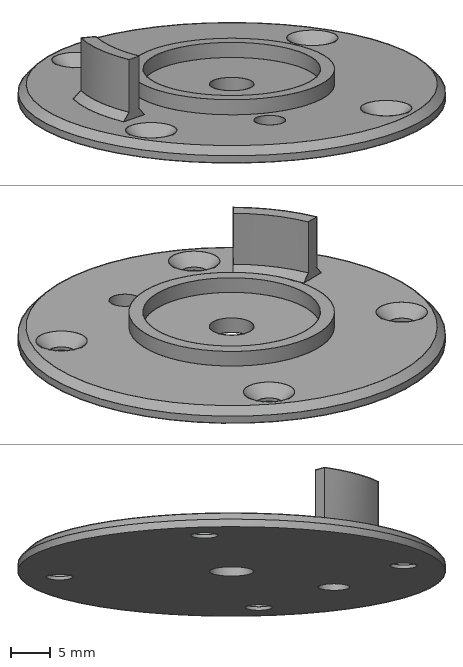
import cadquery as cq

plate_diameter = 54
plate_thickness = 2.0
rim_chamfer = 1.0

ring_outer_diameter = 26.0
ring_inner_diameter = 22.4
ring_height = 2.0

centre_hole_diameter = 5.6
side_hole_diameter = 4.0
side_hole_x = 16.0
screw_hole_diameter = 3.4
screw_head_diameter = 6.5
screw_head_angle = 90
screw_spacing = 31.1

overall_height = 10.0
wall_inner_radius = 18.0
wall_outer_radius = 20.0
wall_sweep = 32
foot_flare = 1.0


def make_plate():
    disc = cq.Workplane("XY").circle(plate_diameter / 2).extrude(plate_thickness)
    return disc.faces(">Z").edges().chamfer(rim_chamfer)


def make_ring():
    return (
        cq.Workplane("XY", origin=(0, 0, plate_thickness))
        .circle(ring_outer_diameter / 2)
        .circle(ring_inner_diameter / 2)
        .extrude(ring_height)
    )


def make_wall():
    """Revolve the wall section about Z, starting on the -Y axis and turning toward +X."""
    foot_top = plate_thickness + foot_flare
    section = [
        (-wall_inner_radius + foot_flare, plate_thickness),
        (-wall_inner_radius, foot_top),
        (-wall_inner_radius, overall_height),
        (-wall_outer_radius, overall_height),
        (-wall_outer_radius, foot_top),
        (-wall_outer_radius - foot_flare, plate_thickness),
    ]
    return (
        cq.Workplane("YZ")
        .polyline(section)
        .close()
        .revolve(wall_sweep, (0, 0, 0), (0, 1, 0))
    )


def drill_holes(body):
    top = cq.Workplane("XY", origin=(0, 0, plate_thickness))
    centre_hole = top.circle(centre_hole_diameter / 2).extrude(-plate_thickness)
    side_hole = top.center(side_hole_x, 0).circle(side_hole_diameter / 2).extrude(-plate_thickness)
    body = body.cut(centre_hole).cut(side_hole)
    return (
        body.copyWorkplane(top)
        .rect(screw_spacing, screw_spacing, forConstruction=True)
        .vertices()
        .cskHole(screw_hole_diameter, screw_head_diameter, screw_head_angle)
    )


result = drill_holes(make_plate().union(make_ring())).union(make_wall())